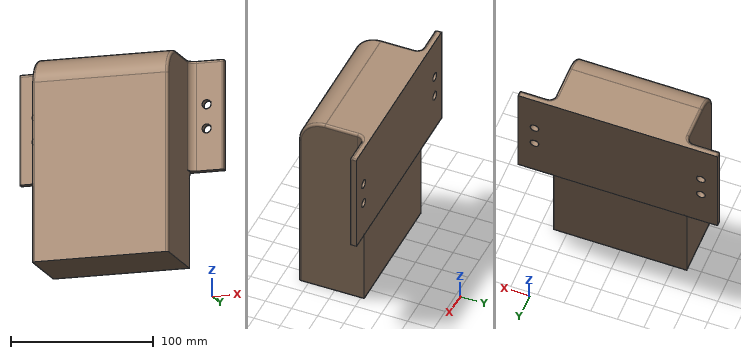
import cadquery as cq

overall_width = 150.0
overall_height = 150.0
overall_depth = 55.0
box_width = overall_width * 2 / 3
box_depth = box_width / 2
flange_thickness = overall_depth - box_depth
flange_height = 80.0

top_front_radius = 20.0
junction_radius = flange_thickness
outer_edge_radius = 2.0
flange_end_radius = 1.0

hole_diameter = 6.5
hole_spacing = 17.5
hole_pair_drop = 40.8
hole_x = (overall_width + box_width) / 4

margin = 0.2


def edges_in(x_range, y_range, z_range):
    """Selector for the edges whose centres lie inside the given ranges."""
    low, high = zip(x_range, y_range, z_range)
    return cq.selectors.BoxSelector(low, high)


def block(width, y_back, y_front, height):
    """Block centred on X that hangs down from Z = 0 between two Y planes."""
    depth = y_back - y_front
    return (
        cq.Workplane("XY")
        .box(width, depth, height, centered=(True, False, False))
        .translate((0, y_front, -height))
    )


def rounded_box():
    """Box in front of the flange, with a large round along its top front edge."""
    box = block(box_width, -flange_thickness, -overall_depth, overall_height)
    return box.edges(">Z and <Y").fillet(top_front_radius)


def junction_fillets(body):
    """Concave fillets along the upright corners where the flange meets the box sides."""
    half = box_width / 2
    near_front = (-flange_thickness - margin, -flange_thickness + margin)
    for side in (-half, half):
        corner = edges_in((side - margin, side + margin), near_front, (-flange_height, 0))
        body = body.edges("|Z").edges(corner).fillet(junction_radius)
    return body


def underside_fillet():
    """Concave fillet strip between the underside of the flange and the back of the box."""
    return (
        cq.Workplane("YZ")
        .moveTo(0, -flange_height)
        .radiusArc((-flange_thickness, -flange_height - junction_radius), -junction_radius)
        .lineTo(-flange_thickness, -flange_height)
        .close()
        .extrude(box_width / 2, both=True)
    )


def outer_edge_rounds(body):
    """Rounds along the whole front rim of the part and on the flange ends."""
    body = body.edges("|Z and <Y").fillet(outer_edge_radius)
    half = overall_width / 2
    for side in (-half, half):
        end_outline = edges_in(
            (side - margin, side + margin),
            (-flange_thickness - margin, -margin),
            (-flange_height + margin, margin),
        )
        body = body.edges(end_outline).fillet(flange_end_radius)
    return body


def screw_holes():
    """Cutters for the two screw holes on each side of the flange."""
    upper_z = -hole_pair_drop + hole_spacing / 2
    points = [(x, z) for x in (-hole_x, hole_x) for z in (upper_z, upper_z - hole_spacing)]
    return cq.Workplane("XZ").pushPoints(points).circle(hole_diameter / 2).extrude(flange_thickness)


def make_cover():
    """Box and mounting flange as a single solid."""
    body = block(overall_width, 0, -flange_thickness, flange_height)
    body = body.union(rounded_box())
    body = junction_fillets(body)
    body = outer_edge_rounds(body)
    return body.union(underside_fillet()).cut(screw_holes())


cover = make_cover()
result = cq.Compound.makeCompound([cover.val()])